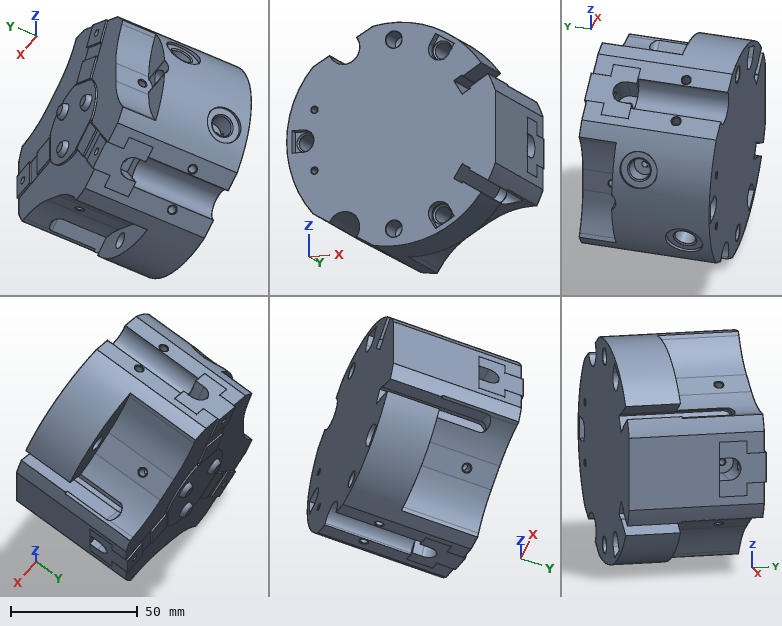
import cadquery as cq
import math


body_radius = 45
body_depth = 54.7
flat_distance = 42.6
jaw_angles = (0, 120, 240)
screw_circle_radius = 38.1

jaw_inner_end = 17.4
jaw_front = 36.6
jaw_step = 47.6
jaw_back = 55.5
jaw_foot_width = 22.1
jaw_neck_width = 12.0
jaw_slot_width = 9
jaw_slot_end = 29.6
jaw_slot_axis_depth = 40.7
jaw_screw_hole = 3.0
keyway_width = 6.0

cover_radius = 18.3
cover_clearance = 0.6
boss_circle_radius = 12.0
boss_diameter = 7.0
boss_shoulder_diameter = 6.5
boss_tip_diameter = 4.4
boss_back = 57.7

left_hollow_front = 39.7
right_hollow_front = 22.1
hollow_floor_distance = 32.5
hollow_floor_half_width = 4.95
hollow_curve_end_distance = 37.2
hollow_curve_end_half_width = 22.6
hollow_mouth_half_width = 24.1
hollow_hole_y = 42.5
spot_diameter = 9

hollow_fronts = {60: right_hollow_front, 180: left_hollow_front, 300: right_hollow_front}

clamp_hole = 6.7
clamp_countersink = 8.0
clamp_pocket_width = 9
clamp_pocket_end = 42.7
clamp_pocket_depth = 4.0
dowel_hole = 6.7
dowel_countersink = 7.0
dowel_depth = 10.8
large_thread_hole = 3.2
large_thread_mouth = 4.0
small_thread_hole = 2.5
small_thread_mouth = 3.0
thread_depth = 7.2
front_thread_x = -33.3
front_thread_z = 12.2
drill_tip_angle = 118

channel_angles = (120, 240)
channel_diameter = 13.05
channel_distance = 41.75
flat_hole_offset = 9.1
flat_hole_y = 17.5

oblique_angle = 32
oblique_axis_depth = 41.9
oblique_start = 31.8
oblique_step = 35.6
oblique_wide = 6.7
oblique_narrow = 5.4

port_spot_diameter = 15.0
port_spot_distance = 43.5
port_mouth = 9.6
port_bore = 8.55
port_depth = 9
port_passage = 2.4
port_passage_depth = 5.4
port_groove_width = 2.0
port_tilt = 20
upper_port_y = 29.4
lower_port_y = 10.9
lower_passage_offset = -2.3

reach = 2 * body_radius


def face_plane(y):
    """Plane square to the axis: local x and y are X and Z, and its normal points to -Y."""
    return cq.Workplane(cq.Plane(origin=(0, y, 0), xDir=(1, 0, 0), normal=(0, -1, 0)))


def turned(shape, angle):
    """Turn a shape about the axis, from +X towards +Z."""
    return shape.rotate((0, 0, 0), (0, -1, 0), angle)


def block(x_start, x_end, y_start, y_end, width):
    """Box centred on Z = 0."""
    return cq.Workplane("XY").box(
        x_end - x_start, y_end - y_start, width, centered=(False, False, True)
    ).translate((x_start, y_start, 0))


def drill(diameter, mouth, depth):
    """Blind hole with a conical tip and a chamfered mouth, running to +Y from the origin."""
    radius = diameter / 2
    chamfer = (mouth - diameter) / 2
    tip = radius / math.tan(math.radians(drill_tip_angle / 2))
    return (
        cq.Workplane("XY")
        .polyline([
            (0, 0),
            (mouth / 2, 0),
            (radius, chamfer),
            (radius, depth),
            (0, depth + tip),
        ])
        .close()
        .revolve(360, (0, 0), (0, 1))
    )


def inward(tool, distance, y, offset=0):
    """Lay a tool that runs to +Y so that it runs towards the axis from the given distance."""
    return tool.rotate((0, 0, 0), (0, 0, 1), 90).translate((distance, y, offset))


def plain_hole(diameter, depth):
    """Round tool running to +Y from the origin."""
    return face_plane(0).circle(diameter / 2).extrude(-depth)


def round_roofed_slot(x_start, x_end, y_start, y_axis, width):
    """Slot along X, open towards -Y, with a half-round roof."""
    roof = cq.Workplane("YZ", origin=(x_start, y_axis, 0)).circle(width / 2).extrude(x_end - x_start)
    return block(x_start, x_end, y_start, y_axis, width).union(roof)


def jaw_blank():
    """T-shaped bar: the jaw without its cuts, and the slot in the housing that holds it."""
    foot = block(jaw_inner_end, flat_distance, jaw_front, jaw_step, jaw_foot_width)
    neck = block(jaw_inner_end, flat_distance, jaw_step, jaw_back, jaw_neck_width)
    return foot.union(neck)


def jaw():
    keyway_middle = (jaw_inner_end + flat_distance) / 2
    keyway = block(
        keyway_middle - keyway_width / 2,
        keyway_middle + keyway_width / 2,
        body_depth,
        jaw_back,
        jaw_neck_width,
    )
    slot = round_roofed_slot(jaw_slot_end, flat_distance, jaw_front, jaw_slot_axis_depth, jaw_slot_width)
    screw_hole = plain_hole(jaw_screw_hole, reach).translate((screw_circle_radius, 0, 0))
    end_hole = inward(
        drill(small_thread_hole, small_thread_mouth, thread_depth), jaw_slot_end, jaw_slot_axis_depth
    )
    return jaw_blank().cut(keyway).cut(slot).cut(end_hole).cut(screw_hole)


def housing_blank():
    blank = face_plane(0).circle(body_radius).extrude(-body_depth)
    for angle in jaw_angles:
        beyond_flat = block(flat_distance, reach, 0, body_depth, reach)
        blank = blank.cut(turned(beyond_flat, angle))
    return blank


def cover():
    disc = face_plane(body_depth).circle(cover_radius).extrude(body_depth - jaw_back)
    for angle in jaw_angles:
        notch = block(
            jaw_inner_end - cover_clearance,
            reach,
            body_depth,
            jaw_back,
            jaw_neck_width + 2 * cover_clearance,
        )
        disc = disc.cut(turned(notch, angle))
    return disc


def rounded_boss():
    rim = boss_diameter / 2
    tip = boss_tip_diameter / 2
    height = boss_back - jaw_back
    shoulder = (boss_shoulder_diameter / 2, height / 2)
    return (
        cq.Workplane("XY")
        .moveTo(0, 0)
        .lineTo(rim, 0)
        .threePointArc(shoulder, (tip, height))
        .lineTo(0, height)
        .close()
        .revolve(360, (0, 0), (0, 1))
        .translate((boss_circle_radius, jaw_back, 0))
    )


def lobe_hollow(front):
    """Concave recess, open outwards and to the back, with a spotted threaded hole in its floor."""
    mouth_distance = math.sqrt(body_radius**2 - hollow_mouth_half_width**2)
    half = (
        face_plane(front)
        .moveTo(hollow_floor_distance, 0)
        .lineTo(hollow_floor_distance, hollow_floor_half_width)
        .tangentArcPoint((hollow_curve_end_distance, hollow_curve_end_half_width), relative=False)
        .lineTo(mouth_distance, hollow_mouth_half_width)
        .lineTo(reach, hollow_mouth_half_width)
        .lineTo(reach, 0)
        .close()
        .extrude(front - body_depth)
    )
    hollow = half.union(half.mirror("XY")).clean()
    spot = inward(plain_hole(spot_diameter, body_radius - hollow_floor_distance), body_radius, hollow_hole_y)
    hole = drill(large_thread_hole, large_thread_mouth, thread_depth)
    return hollow.union(spot).union(inward(hole, hollow_floor_distance, hollow_hole_y))


def clamp_hole_with_pocket(end):
    """Countersunk through hole at the bottom of a pocket squared off on its outer side."""
    hole = drill(clamp_hole, clamp_countersink, end).translate((0, clamp_pocket_depth, 0))
    pocket = plain_hole(clamp_pocket_width, clamp_pocket_depth)
    corner = block(0, clamp_pocket_end - screw_circle_radius, 0, clamp_pocket_depth, clamp_pocket_width)
    return hole.union(pocket).union(corner).translate((screw_circle_radius, 0, 0))


def flat_channel():
    """Half-round channel up to the jaw, with a threaded hole on either side of it."""
    channel = plain_hole(channel_diameter, jaw_front).translate((channel_distance, 0, 0))
    mouth = block(channel_distance, reach, 0, jaw_front, channel_diameter)
    cutter = channel.union(mouth)
    for side in (-1, 1):
        hole = drill(large_thread_hole, large_thread_mouth, thread_depth)
        cutter = cutter.union(inward(hole, flat_distance, flat_hole_y, side * flat_hole_offset))
    return cutter


def oblique_slot(angle):
    wide = round_roofed_slot(oblique_start, oblique_step, 0, oblique_axis_depth, oblique_wide)
    narrow = round_roofed_slot(oblique_step, reach, 0, oblique_axis_depth, oblique_narrow)
    return turned(wide.union(narrow), angle)


def port(y, passage_offset):
    """Spotted and chamfered blind bore towards the axis, with a small air passage in its floor."""
    spot = inward(plain_hole(port_spot_diameter, body_radius - port_spot_distance), body_radius, y)
    chamfer = (port_mouth - port_bore) / 2
    bore = plain_hole(port_bore, port_depth).union(
        face_plane(0).circle(port_mouth / 2).workplane(offset=-chamfer).circle(port_bore / 2).loft()
    )
    passage = plain_hole(port_passage, port_depth + port_passage_depth)
    return (
        spot.union(inward(bore, port_spot_distance, y))
        .union(inward(passage, port_spot_distance, y + passage_offset))
    )


def port_groove():
    """Round-bottomed groove in the upper port's floor, from its passage to the bore wall."""
    return plain_hole(port_groove_width, port_bore / 2).translate(
        (port_spot_distance - port_depth, upper_port_y - port_bore / 2, 0)
    )


def make_housing():
    body = housing_blank().union(cover())
    for angle, front in hollow_fronts.items():
        body = body.union(turned(rounded_boss(), angle))
        body = body.cut(turned(lobe_hollow(front), angle))
        body = body.cut(turned(clamp_hole_with_pocket(front), angle))
    for angle in jaw_angles:
        body = body.cut(turned(jaw_blank(), angle))
    for angle in channel_angles:
        body = body.cut(turned(flat_channel(), angle))
    for side in (-1, 1):
        body = body.cut(oblique_slot(side * oblique_angle))
        dowel = drill(dowel_hole, dowel_countersink, dowel_depth)
        body = body.cut(dowel.translate((0, 0, side * screw_circle_radius)))
        small_thread = drill(small_thread_hole, small_thread_mouth, thread_depth)
        body = body.cut(small_thread.translate((front_thread_x, 0, side * front_thread_z)))
    upper_port = port(upper_port_y, 0).union(port_groove())
    body = body.cut(turned(upper_port, 180 - port_tilt))
    body = body.cut(turned(port(lower_port_y, lower_passage_offset), 180 + port_tilt))
    return body


housing = make_housing()
jaws = [turned(jaw(), angle) for angle in jaw_angles]

result = cq.Compound.makeCompound([housing.solids().val(), *[one_jaw.solids().val() for one_jaw in jaws]])